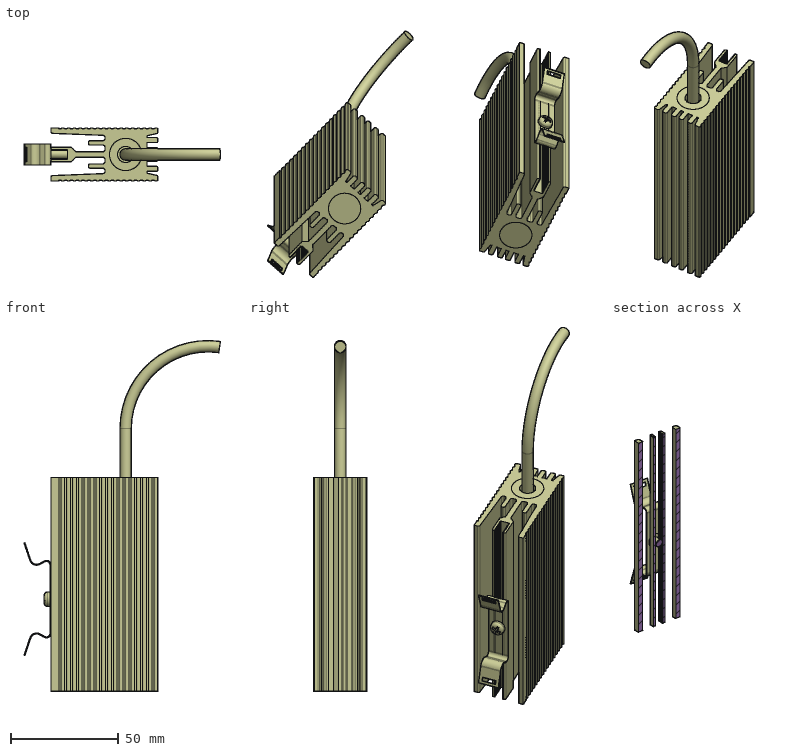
import cadquery as cq
import math

SINK_LENGTH = 50.0
SINK_WIDTH = 25.0
SINK_HEIGHT = 100.0
HALF_WIDTH = SINK_WIDTH / 2
CORE_LEFT = 25.3
CORE_RIGHT = 45.0

WALL_TIP_THICKNESS = 2.6
WALL_ROOT_THICKNESS = 3.6
REAR_WALL_ROOT_THICKNESS = 3.8

FRONT_FIN_CENTER = 5.4
FRONT_FIN_THICKNESS = 2.1
FRONT_FIN_TIP = 17.5
REAR_FIN_CENTERS = (2.0, 6.7)
REAR_FIN_THICKNESS = 2.5
ROOT_FILLET = 1.0
TIP_FILLET = 0.8

WEB_THICKNESS = 2.6
RAIL_WIDTH = 6.9
RAIL_LENGTH = 9.5
RAIL_TAPER_LENGTH = 2.1
CHANNEL_DEPTH = 7.7
TOOTH_COUNT = 11
TOOTH_DEPTH = 0.3
TOOTH_PITCH = CHANNEL_DEPTH / TOOTH_COUNT

RIB_COUNT = 17
RIB_WIDTH = 1.8
RIB_HEIGHT = 0.41
RIB_FLOOR = HALF_WIDTH - RIB_HEIGHT
FIRST_RIB_X = 5.5
LAST_RIB_X = SINK_LENGTH - RIB_WIDTH / 2
RIB_PITCH = (LAST_RIB_X - FIRST_RIB_X) / (RIB_COUNT - 1)
PLAIN_TIP_LENGTH = 3.8

CORE_RADIUS = 7.5
CABLE_X = 35.0
CABLE_DIAMETER = 5.4
CABLE_RADIUS = CABLE_DIAMETER / 2
CABLE_HOLE_RADIUS = 3.8
CABLE_HOLE_DEPTH = 5.0
CABLE_HOLE_FLOOR = SINK_HEIGHT - CABLE_HOLE_DEPTH
CABLE_STRAIGHT = 22.8
TOTAL_HEIGHT = 164.0
BEND_ANGLE = 98.2
BEND_START = SINK_HEIGHT + CABLE_STRAIGHT
BEND_RADIUS = TOTAL_HEIGHT - BEND_START - CABLE_RADIUS

CLIP_Z = 43.1
CLIP_WIDTH = 10.0
CLIP_THICKNESS = 0.5
CLIP_BASE_HALF = 16.0
CREST_RADIUS = 1.8
TROUGH_RADIUS = 3.1
CREST_DIP = 28.0
CREST_LINK = 2.6
LIP_LEAN = 18.5
LIP_LENGTH = 8.5
SLOT_WIDTH = 6.7
SLOT_CUT_LENGTH = 4 * CLIP_THICKNESS
SLOT_HEIGHT = 1.8
SLOT_FROM_TIP = 2.3

SCREW_RADIUS = 2.0
HEAD_RADIUS = 3.5
HEAD_FILLET = 1.8
HEAD_HEIGHT = 2.8
RECESS_SPAN = 4.3
RECESS_WIDTH = 0.8
RECESS_DEPTH = 1.5
RECESS_TURN = 25.0


def box(x_min, x_max, y_center, y_width):
    """Full-height block given by its X range and its Y middle and width."""
    return (
        cq.Workplane("XY")
        .center((x_min + x_max) / 2, y_center)
        .rect(x_max - x_min, y_width)
        .extrude(SINK_HEIGHT)
    )


def make_side_wall():
    """Outer wall on the +Y side, thickest at the core, ribbed outside, with its inner tip edges rounded."""
    wall = (
        cq.Workplane("XY")
        .moveTo(0, HALF_WIDTH)
        .lineTo(0, HALF_WIDTH - WALL_TIP_THICKNESS)
        .lineTo(CORE_LEFT, HALF_WIDTH - WALL_ROOT_THICKNESS)
        .lineTo(CORE_RIGHT, HALF_WIDTH - REAR_WALL_ROOT_THICKNESS)
        .lineTo(SINK_LENGTH, HALF_WIDTH - WALL_TIP_THICKNESS)
        .lineTo(SINK_LENGTH, RIB_FLOOR)
        .lineTo(PLAIN_TIP_LENGTH, RIB_FLOOR)
        .lineTo(PLAIN_TIP_LENGTH, HALF_WIDTH)
        .close()
        .extrude(SINK_HEIGHT)
        .edges("|Z and (<X or >X)")
        .edges("<Y")
        .fillet(TIP_FILLET)
    )
    for index in range(RIB_COUNT):
        center = FIRST_RIB_X + index * RIB_PITCH
        rib = (
            cq.Workplane("XY")
            .moveTo(center - RIB_WIDTH / 2, RIB_FLOOR)
            .threePointArc((center, HALF_WIDTH), (center + RIB_WIDTH / 2, RIB_FLOOR))
            .close()
            .extrude(SINK_HEIGHT)
        )
        wall = wall.union(rib)
    return wall


def make_rail():
    """Web with a thicker rail at its free end, tapered into the web."""
    taper_end = RAIL_LENGTH + RAIL_TAPER_LENGTH
    rail = (
        cq.Workplane("XY")
        .moveTo(0, -RAIL_WIDTH / 2)
        .lineTo(RAIL_LENGTH, -RAIL_WIDTH / 2)
        .lineTo(taper_end, -WEB_THICKNESS / 2)
        .lineTo(taper_end, WEB_THICKNESS / 2)
        .lineTo(RAIL_LENGTH, RAIL_WIDTH / 2)
        .lineTo(0, RAIL_WIDTH / 2)
        .close()
        .extrude(SINK_HEIGHT)
        .edges("|Z and <X")
        .fillet(TIP_FILLET)
    )
    web = box(RAIL_LENGTH, CORE_LEFT, 0, WEB_THICKNESS)
    return rail.union(web)


def make_channel():
    """Space of the screw channel; the tooth crests leave room for the screw shank."""
    crest = SCREW_RADIUS
    root = SCREW_RADIUS + TOOTH_DEPTH
    upper = [(0, crest)]
    for index in range(TOOTH_COUNT):
        upper.append(((index + 0.5) * TOOTH_PITCH, root))
        upper.append(((index + 1) * TOOTH_PITCH, crest))
    lower = [(x, -y) for x, y in reversed(upper)]
    return cq.Workplane("XY").polyline(upper + lower).close().extrude(SINK_HEIGHT)


def make_heat_sink():
    """Finned extrusion with its screw channel and the bore for the heater core."""
    sink = box(CORE_LEFT, CORE_RIGHT, 0, 2 * RIB_FLOOR).union(make_rail())
    wall = make_side_wall()
    sink = sink.union(wall).union(wall.mirror("XZ"))

    for side in (-1, 1):
        fin = box(FRONT_FIN_TIP, CORE_LEFT, side * FRONT_FIN_CENTER, FRONT_FIN_THICKNESS)
        sink = sink.union(fin.edges("|Z and <X").fillet(TIP_FILLET))
        for center in REAR_FIN_CENTERS:
            fin = box(CORE_RIGHT, SINK_LENGTH, side * center, REAR_FIN_THICKNESS)
            sink = sink.union(fin.edges("|Z and >X").fillet(TIP_FILLET))

    root_reach = HALF_WIDTH - WALL_TIP_THICKNESS
    root_line = cq.selectors.BoxSelector(
        (CORE_LEFT - ROOT_FILLET, -root_reach, 0), (CORE_LEFT + ROOT_FILLET, root_reach, SINK_HEIGHT)
    )
    sink = sink.edges("|Z").edges(root_line).fillet(ROOT_FILLET)

    sink = sink.cut(make_channel())
    bore = cq.Workplane("XY").center(CABLE_X, 0).circle(CORE_RADIUS).extrude(SINK_HEIGHT)
    return sink.cut(bore)


def make_heater_core():
    """Round core filling the bore, with a blind clearance hole around the cable."""
    core = cq.Workplane("XY").center(CABLE_X, 0).circle(CORE_RADIUS).extrude(SINK_HEIGHT)
    hole = (
        cq.Workplane("XY", origin=(CABLE_X, 0, CABLE_HOLE_FLOOR))
        .circle(CABLE_HOLE_RADIUS)
        .extrude(CABLE_HOLE_DEPTH)
    )
    return core.cut(hole)


def make_cable():
    """Straight lead from the floor of the core's hole, then a bend toward +X."""
    straight = (
        cq.Workplane("XY", origin=(CABLE_X, 0, CABLE_HOLE_FLOOR))
        .circle(CABLE_RADIUS)
        .extrude(CABLE_HOLE_DEPTH + CABLE_STRAIGHT)
    )
    bend = (
        cq.Workplane("XY", origin=(CABLE_X, 0, BEND_START))
        .circle(CABLE_RADIUS)
        .revolve(BEND_ANGLE, (BEND_RADIUS, 0, 0), (BEND_RADIUS, 1, 0))
    )
    return straight.union(bend)


def arc_step(start, heading, radius, turn):
    """Middle and end points of an arc; angles in degrees, positive turn is counterclockwise."""
    sign = math.copysign(1, turn)
    normal = math.radians(heading + 90 * sign)
    center = (start[0] + radius * math.cos(normal), start[1] + radius * math.sin(normal))
    points = []
    for part in (0.5, 1.0):
        angle = normal + math.pi + math.radians(turn * part)
        points.append((center[0] + radius * math.cos(angle), center[1] + radius * math.sin(angle)))
    return points


def line_step(start, heading, length):
    """End point of a straight piece."""
    angle = math.radians(heading)
    return (start[0] + length * math.cos(angle), start[1] + length * math.sin(angle))


def make_clip():
    """Bent strip: flat base, crest, trough and leaning lip, mirrored about its middle."""
    up = 90.0
    link_heading = 180.0 + CREST_DIP
    lip_heading = up + LIP_LEAN

    base_start = (-CLIP_THICKNESS / 2, 0)
    base_end = line_step(base_start, up, CLIP_BASE_HALF)
    crest_mid, crest_end = arc_step(base_end, up, CREST_RADIUS, link_heading - up)
    link_end = line_step(crest_end, link_heading, CREST_LINK)
    trough_mid, trough_end = arc_step(link_end, link_heading, TROUGH_RADIUS, lip_heading - link_heading)
    tip = line_step(trough_end, lip_heading, LIP_LENGTH)

    path = (
        cq.Workplane("XZ")
        .moveTo(*base_start)
        .lineTo(*base_end)
        .threePointArc(crest_mid, crest_end)
        .lineTo(*link_end)
        .threePointArc(trough_mid, trough_end)
        .lineTo(*tip)
    )
    half = (
        cq.Workplane("XY", origin=(base_start[0], 0, 0))
        .rect(CLIP_THICKNESS, CLIP_WIDTH)
        .sweep(path)
    )

    slot_x, slot_z = line_step(tip, lip_heading, -SLOT_FROM_TIP)
    slot = (
        cq.Workplane("XY")
        .box(SLOT_CUT_LENGTH, SLOT_WIDTH, SLOT_HEIGHT)
        .rotate((0, 0, 0), (0, 1, 0), -LIP_LEAN)
        .translate((slot_x, 0, slot_z))
    )
    half = half.cut(slot)

    screw_hole = cq.Workplane("YZ").circle(SCREW_RADIUS).extrude(CLIP_THICKNESS, both=True)
    clip = half.union(half.mirror("XY")).cut(screw_hole)
    return clip.translate((0, 0, CLIP_Z))


def make_screw():
    """Round-edged cross-recess screw along X, its shank reaching the channel floor."""
    seat = -CLIP_THICKNESS
    top = seat - HEAD_HEIGHT
    screw = cq.Workplane("YZ", origin=(top, 0, 0)).circle(HEAD_RADIUS).extrude(HEAD_HEIGHT)
    screw = screw.edges("<X").fillet(HEAD_FILLET)
    shank = (
        cq.Workplane("YZ", origin=(seat, 0, 0))
        .circle(SCREW_RADIUS)
        .extrude(CHANNEL_DEPTH - seat)
    )
    screw = screw.union(shank)
    for turn in (RECESS_TURN, RECESS_TURN + 90):
        arm = (
            cq.Workplane("YZ", origin=(top, 0, 0))
            .rect(RECESS_WIDTH, RECESS_SPAN)
            .extrude(RECESS_DEPTH)
            .rotate((0, 0, 0), (1, 0, 0), turn)
        )
        screw = screw.cut(arm)
    return screw.translate((0, 0, CLIP_Z))


heat_sink = make_heat_sink()
heater_core = make_heater_core()
cable = make_cable()
clip = make_clip()
screw = make_screw()

result = cq.Compound.makeCompound(
    [heat_sink.val(), heater_core.val(), cable.val(), clip.val(), screw.val()]
)